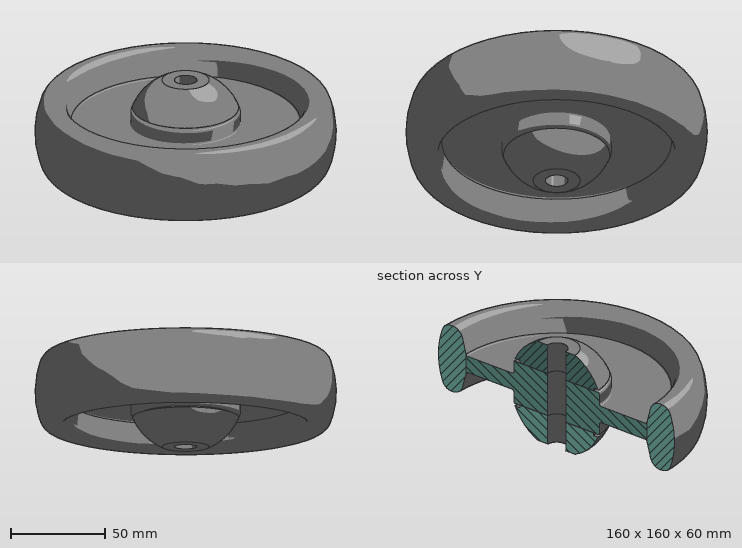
import cadquery as cq
import math

bore_radius = 6.0

tyre_radius = 80.0
tyre_half_width = 20.0
tread_arc_radius = 45.0
crown_radius = 70.4
flank_top_height = 13.5
tyre_bore_radius = 61.0

web_half_thickness = 5.0
web_fillet = 1.0
hub_radius = 29.1
hub_half_length = 12.9
hub_edge_fillet = 1.3
rim_half_width = web_half_thickness + web_fillet

wheel_half_length = 30.0
cap_face_radius = 12.5
dome_radius = 30.8
dome_foot_height = 14.2
cap_neck_radius = 25.0


def mirrored(point):
    return (point[0], -point[1])


def point_on_arc(center, radius, angle):
    return (center[0] + radius * math.cos(angle), center[1] + radius * math.sin(angle))


def revolve(profile):
    """Turn a (radius, height) profile fully about the Z axis."""
    return profile.close().revolve(360, (0, 0, 0), (0, 1, 0))


def make_tyre():
    tread_center_radius = tyre_radius - tread_arc_radius
    crown_offset = crown_radius - tread_center_radius
    shoulder_radius = (tread_arc_radius**2 - crown_offset**2 - tyre_half_width**2) / (
        2 * (tread_arc_radius - tyre_half_width)
    )
    shoulder_center = (crown_radius, tyre_half_width - shoulder_radius)

    crown_angle = math.pi / 2
    tread_angle = math.atan2(shoulder_center[1], crown_offset)
    flank_angle = math.pi - math.asin((flank_top_height - shoulder_center[1]) / shoulder_radius)

    crown = (crown_radius, tyre_half_width)
    tread_end = point_on_arc(shoulder_center, shoulder_radius, tread_angle)
    inner_mid = point_on_arc(shoulder_center, shoulder_radius, (crown_angle + flank_angle) / 2)
    flank_top = point_on_arc(shoulder_center, shoulder_radius, flank_angle)
    flank_foot = (tyre_bore_radius, rim_half_width)

    tread_points = [tread_end, (tyre_radius, 0), mirrored(tread_end), mirrored(crown)]
    tread_directions = [
        (1, 0),
        (math.sin(tread_angle), -math.cos(tread_angle)),
        (0, -1),
        (-math.sin(tread_angle), -math.cos(tread_angle)),
        (-1, 0),
    ]

    return revolve(
        cq.Workplane("XZ")
        .moveTo(*mirrored(flank_foot))
        .lineTo(*flank_foot)
        .lineTo(*flank_top)
        .threePointArc(inner_mid, crown)
        .spline(tread_points, tangents=tread_directions, includeCurrent=True)
        .threePointArc(mirrored(inner_mid), mirrored(flank_top))
    )


def make_core():
    web_outer = tyre_bore_radius - web_fillet
    web_inner = hub_radius + web_fillet
    upper_half = revolve(
        cq.Workplane("XZ")
        .moveTo(bore_radius, 0)
        .lineTo(tyre_bore_radius, 0)
        .lineTo(tyre_bore_radius, rim_half_width)
        .radiusArc((web_outer, web_half_thickness), web_fillet)
        .lineTo(web_inner, web_half_thickness)
        .radiusArc((hub_radius, rim_half_width), web_fillet)
        .lineTo(hub_radius, hub_half_length - hub_edge_fillet)
        .radiusArc((hub_radius - hub_edge_fillet, hub_half_length), -hub_edge_fillet)
        .lineTo(bore_radius, hub_half_length)
    )
    return upper_half.union(upper_half.mirror("XY"))


def make_upper_cap():
    """A slice of a sphere on a short neck, with the dome edge clear of the hub."""
    dome_center = (0, wheel_half_length - math.sqrt(dome_radius**2 - cap_face_radius**2))
    foot_angle = math.asin((dome_foot_height - dome_center[1]) / dome_radius)
    face_angle = math.acos(cap_face_radius / dome_radius)
    dome_foot = point_on_arc(dome_center, dome_radius, foot_angle)
    dome_mid = point_on_arc(dome_center, dome_radius, (foot_angle + face_angle) / 2)
    return revolve(
        cq.Workplane("XZ")
        .moveTo(bore_radius, hub_half_length)
        .lineTo(cap_neck_radius, hub_half_length)
        .lineTo(cap_neck_radius, dome_foot_height)
        .lineTo(*dome_foot)
        .threePointArc(dome_mid, (cap_face_radius, wheel_half_length))
        .lineTo(bore_radius, wheel_half_length)
    )


tyre = make_tyre()
core = make_core()
upper_cap = make_upper_cap()
lower_cap = upper_cap.mirror("XY")

result = cq.Compound.makeCompound(
    [tyre.val(), core.solids().val(), upper_cap.val(), lower_cap.val()]
)